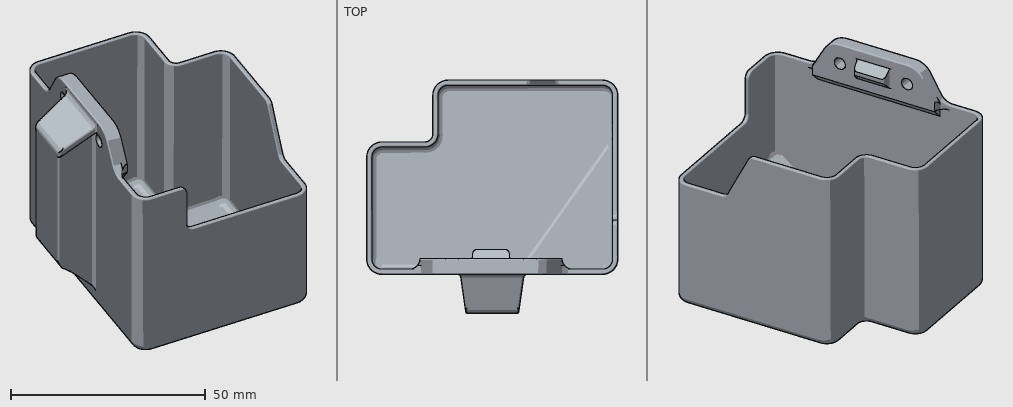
import cadquery as cq
import math

width = 64.6
depth = 50.0
height = 50.0
wall = 1.35
notch_width = 17.0
notch_depth = 15.9
outer_radius = 4.0
step_radius = 2.0
bottom_radius = 2.0
floor_radius = 2.0
rim_radius = 0.4

ramp_angle = 45
ramp_radius = 4.0
ramp_reach_x = 24.15
ramp_reach_y = 34.3

cutout_drop = 14.0
cutout_front = 14.0
cutout_left = 9.5
cutout_run = 7.1
cutout_radius = 2.0

tab_center = -0.3
tab_rise = 10.0
tab_depth = 4.1
tab_angle = 60
tab_foot_half = 19.1
tab_crown_radius = 5.5
tab_foot_radius = 4.0
tab_foot_depth = 2.3
pad_half = 18.3
hole_diameter = 3.3
hole_spacing = 20.1
hole_drop = 5.55

catch_depth = 2.3
catch_base_half = 4.85
catch_tip_half = 4.6
catch_tip_height = 1.2
catch_drop = 5.5
catch_tip_radius = 1.0
catch_flare_radius = 0.4

clip_depth = 10.0
clip_bottom = 5.05
clip_top_drop = 2.0
clip_angle = 30
clip_upper_radius = 2.0
clip_lower_radius = 5.0
clip_flare_radius = 2.0
bar_half = 7.55
bar_waist_half = 5.5
bar_edge_radius = 0.8
bar_flare_radius = 1.55
cap_base_half = 8.2
cap_outer_half = 6.8
cap_thickness = 1.8
cap_edge_radius = 0.5
cap_flare_radius = 0.8

top = height + tab_rise
clip_top = top - clip_top_drop
clip_slope = math.tan(math.radians(clip_angle))


def near(x, y, z):
    """Selector for the edge whose middle is closest to a point."""
    return cq.selectors.NearestToPointSelector((x, y, z))


def l_prism(inset, bottom):
    """L-shaped prism of the cup's height, inset from its outside, with rounded upright edges."""
    left, right = -width / 2 + inset, width / 2 - inset
    front, back = inset, depth - inset
    step = (-width / 2 + notch_width + inset, depth - notch_depth - inset)
    corners = [(left, front), (right, front), (right, back), (step[0], back), step, (left, step[1])]
    prism = cq.Workplane("XY", origin=(0, 0, bottom)).polyline(corners).close().extrude(height)
    for corner in corners:
        radius = step_radius + inset if corner == step else outer_radius - inset
        prism = prism.edges(near(*corner, bottom + height / 2)).fillet(radius)
    return prism


def make_ramp():
    """Wedge under the ramp, reaching past the front and right walls."""
    foot_x = width / 2 - wall - ramp_reach_x / 2
    foot_y = wall + ramp_reach_y / 2
    foot_length = math.hypot(ramp_reach_x, ramp_reach_y)
    along = cq.Vector(ramp_reach_x, ramp_reach_y, 0)
    uphill = cq.Vector(ramp_reach_y, -ramp_reach_x, 0)
    plane = cq.Plane(origin=(foot_x, foot_y, wall), xDir=uphill, normal=along * -1)
    rise = foot_length * math.tan(math.radians(ramp_angle))
    wedge = cq.Workplane(plane).polyline([(0, 0), (foot_length, 0), (foot_length, rise)]).close()
    return wedge.extrude(foot_length, both=True)


def make_cavity():
    """Inside of the cup above its floor and ramp."""
    cavity = l_prism(wall, wall).cut(make_ramp())
    ramp_foot = near(width / 2 - wall - ramp_reach_x / 2, wall + ramp_reach_y / 2, wall)
    cavity = cavity.edges(ramp_foot).fillet(ramp_radius)
    return cavity.faces("<Z").edges().fillet(floor_radius)


def cut_low_rim(cup):
    """Lower the rear right of the rim, with rounded corners at both ends."""
    low = height - cutout_drop
    slope_end = cutout_left + cutout_run
    side = [(cutout_left, height), (slope_end, low), (width, low), (width, height)]
    tool = cq.Workplane("XZ", origin=(0, cutout_front, 0)).polyline(side).close().extrude(-depth)
    tool = tool.edges(near(slope_end, cutout_front + depth / 2, low)).fillet(cutout_radius)
    tool = tool.faces("<Y").edges("<Z").fillet(cutout_radius)
    cup = cup.cut(tool)
    cup = cup.edges(near(cutout_left, depth - wall / 2, height)).fillet(cutout_radius)
    return cup.edges(near(width / 2 - wall / 2, cutout_front, height)).fillet(cutout_radius)


def tab_outline(right_foot):
    """Tab of full depth with a rounded crown, standing on the given right-hand foot points."""
    half_crown = tab_foot_half - tab_rise / math.tan(math.radians(tab_angle))
    right = right_foot + [(half_crown, top)]
    left = [(-x, z) for x, z in reversed(right)]
    outline = cq.Workplane("XZ", origin=(tab_center, 0, 0)).polyline(right + left).close()
    tab = outline.extrude(-tab_depth)
    for side in (-1, 1):
        tab = tab.edges(near(tab_center + side * half_crown, tab_depth / 2, top)).fillet(tab_crown_radius)
    return tab


def make_tab():
    """Tab whose front layer curves into the rim and whose pad blends into the front wall."""
    root = height - wall
    straight_half = tab_foot_half + wall / math.tan(math.radians(tab_angle))
    straight = tab_outline([(straight_half, root)])

    curved_half = tab_foot_half + tab_foot_radius
    curved = tab_outline([(curved_half, root), (curved_half, height), (tab_foot_half, height)])
    for side in (-1, 1):
        foot = near(tab_center + side * tab_foot_half, tab_depth / 2, height)
        curved = curved.edges(foot).fillet(tab_foot_radius)
    curved = curved.intersect(cq.Workplane("XY").box(2 * width, 2 * tab_foot_depth, 2 * top))

    blend_radius = tab_depth - wall
    blend_half = pad_half + blend_radius
    section = (
        cq.Workplane("XY", origin=(tab_center, 0, root))
        .moveTo(-width / 2, 0)
        .lineTo(-width / 2, wall)
        .lineTo(-blend_half, wall)
        .radiusArc((-pad_half, tab_depth), -blend_radius)
        .lineTo(pad_half, tab_depth)
        .radiusArc((blend_half, wall), -blend_radius)
        .lineTo(width / 2, wall)
        .lineTo(width / 2, 0)
        .close()
        .extrude(top - root)
    )
    return straight.union(curved).intersect(section)


def make_pad_support():
    """Lower end of the pad, tapering back into the front wall at 45 degrees."""
    pad_bottom = height - wall
    side = [(0, height), (tab_depth, height), (tab_depth, pad_bottom), (0, pad_bottom - tab_depth)]
    return cq.Workplane("YZ", origin=(tab_center, 0, 0)).polyline(side).close().extrude(pad_half, both=True)


def round_rims(cup):
    """Round the rim edges; each round runs on along its smoothly joined edges."""
    cup = cup.edges(near(tab_center, 0, top)).fillet(rim_radius)
    cup = cup.edges(near(-width / 2 + wall, depth / 3, height)).fillet(rim_radius)
    return cup.edges(near(tab_center, tab_depth, top)).fillet(rim_radius)


def make_catch():
    """Tapered catch on the rear face of the tab, narrowing to a tip with rounded ends."""
    tip_y = tab_depth + catch_depth
    middle = top - catch_drop
    half_tip = catch_tip_height / 2
    half_base = half_tip + catch_depth
    side = [(tab_depth, -half_base), (tip_y, -half_tip), (tip_y, half_tip), (tab_depth, half_base)]
    profile = cq.Workplane("YZ", origin=(0, 0, middle)).polyline(side).close().extrude(width, both=True)

    root = tab_depth - wall
    right = [(width / 4, root), (width / 4, tab_depth), (catch_base_half, tab_depth), (catch_tip_half, tip_y)]
    left = [(-x, y) for x, y in reversed(right)]
    plan = cq.Workplane("XY", origin=(tab_center, 0, height)).polyline(right + left).close().extrude(tab_rise)
    for end in (-1, 1):
        foot = near(tab_center + end * catch_base_half, tab_depth, height + tab_rise / 2)
        tip = near(tab_center + end * catch_tip_half, tip_y, height + tab_rise / 2)
        plan = plan.edges(foot).fillet(catch_flare_radius).edges(tip).fillet(catch_tip_radius)
    return plan.intersect(profile)


def flare_sides(plan, half, radius):
    """Join an upright prism to a slab at the wall plane and round both inside corners."""
    slab = cq.Workplane("XY").box(width, wall, top, centered=(True, False, False))
    plan = plan.union(slab)
    for end in (-1, 1):
        plan = plan.edges(near(end * half, 0, top / 2)).fillet(radius)
    return plan


def make_clip_profile():
    """Side outline of the clip as a wide solid, flared above and below where it meets the wall."""
    cap_tip = clip_top - clip_depth * clip_slope
    foot_tip = clip_bottom + clip_depth
    side = [(0, clip_top), (-clip_depth, cap_tip), (-clip_depth, foot_tip), (0, clip_bottom),
            (0, 0), (wall, 0), (wall, top), (0, top)]
    profile = cq.Workplane("YZ").polyline(side).close().extrude(width, both=True)
    for z in (clip_top, clip_bottom):
        profile = profile.edges(near(0, 0, z)).fillet(clip_flare_radius)
    profile = profile.edges(near(0, -clip_depth, cap_tip)).fillet(clip_upper_radius)
    profile = profile.edges(near(0, -clip_depth, foot_tip)).fillet(clip_lower_radius)
    in_front = cq.Workplane("XY").box(2 * width, 2 * clip_depth, 2 * top).translate((0, -clip_depth, 0))
    return profile.intersect(in_front)


def make_clip():
    """Waisted bar with a tapered cap along its sloping top."""
    profile = make_clip_profile()
    bar = (
        cq.Workplane("XY")
        .moveTo(-bar_half, 0)
        .threePointArc((-bar_waist_half, -clip_depth / 2), (-bar_half, -clip_depth))
        .lineTo(bar_half, -clip_depth)
        .threePointArc((bar_waist_half, -clip_depth / 2), (bar_half, 0))
        .close()
        .extrude(top)
    )
    bar = bar.faces("<Y").edges("|Z").fillet(bar_edge_radius)
    bar = flare_sides(bar, bar_half, bar_flare_radius).intersect(profile)

    cap_plan = [(-cap_base_half, 0), (-cap_outer_half, -clip_depth),
                (cap_outer_half, -clip_depth), (cap_base_half, 0)]
    cap = cq.Workplane("XY").polyline(cap_plan).close().extrude(top)
    cap = flare_sides(cap, cap_base_half, cap_flare_radius).intersect(profile)
    for end in (-1, 1):
        cap = cap.edges(near(end * cap_outer_half, -clip_depth, height / 2)).fillet(cap_edge_radius)

    cap_bottom = clip_top - cap_thickness
    reach = 2 * clip_depth
    below = [(0, cap_bottom), (-reach, cap_bottom - reach * clip_slope), (-reach, 0), (0, 0)]
    below_cap = cq.Workplane("YZ").polyline(below).close().extrude(width, both=True)
    return bar.union(cap.cut(below_cap))


def make_holes():
    """Pair of holes through the tab, one on each side of the clip."""
    spots = [(-hole_spacing / 2, 0), (hole_spacing / 2, 0)]
    face = cq.Workplane("XZ", origin=(tab_center, 0, top - hole_drop)).pushPoints(spots)
    return face.circle(hole_diameter / 2).extrude(tab_depth, both=True)


cup = l_prism(0, 0).faces("<Z").edges().fillet(bottom_radius).cut(make_cavity())
cup = cut_low_rim(cup)
cup = round_rims(cup.union(make_tab()).union(make_pad_support()))
result = cup.union(make_catch()).union(make_clip()).cut(make_holes())